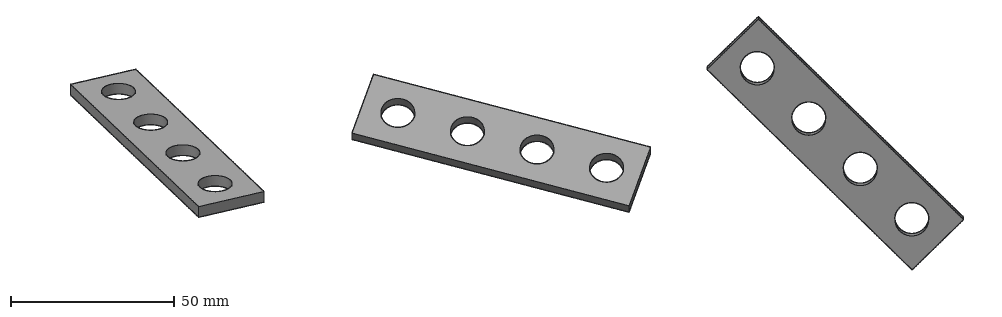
import cadquery as cq

length = 88.9
width = 22.3
thickness = 3.7

hole_diameter = 10.4
hole_count = 4
hole_pitch = width
first_hole_from_end = 10.7

bar = cq.Workplane("XY").box(length, width, thickness)

first_hole_x = -length / 2 + first_hole_from_end
hole_centers = [(first_hole_x + i * hole_pitch, 0) for i in range(hole_count)]

result = bar.faces(">Z").workplane().pushPoints(hole_centers).hole(hole_diameter)